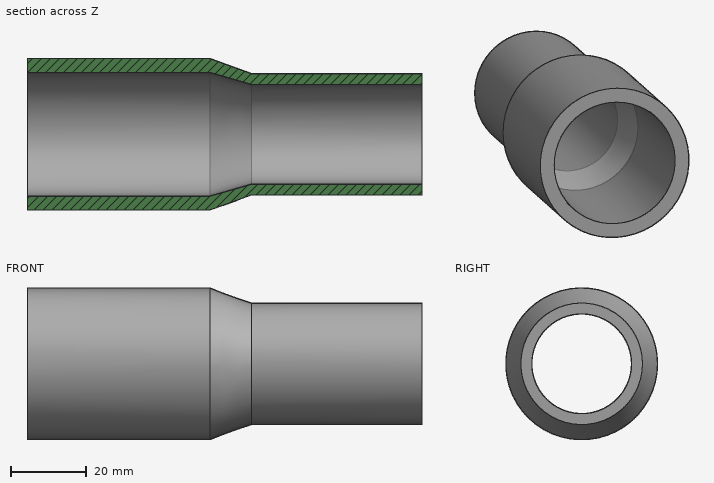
import cadquery as cq

total_length = 104.0
large_end_length = 48.0
small_end_length = 44.9
taper_end = total_length - small_end_length

large_outer_radius = 40.0 / 2
large_bore_radius = 32.5 / 2
small_outer_radius = 32.0 / 2
small_bore_radius = 26.2 / 2


def reducer_solid(large_radius, small_radius):
    """Solid of revolution about X: large cylinder, cone, small cylinder."""
    return (
        cq.Workplane("XY")
        .moveTo(0, 0)
        .lineTo(0, large_radius)
        .lineTo(large_end_length, large_radius)
        .lineTo(taper_end, small_radius)
        .lineTo(total_length, small_radius)
        .lineTo(total_length, 0)
        .close()
        .revolve(360, (0, 0, 0), (1, 0, 0))
    )


body = reducer_solid(large_outer_radius, small_outer_radius)
bore = reducer_solid(large_bore_radius, small_bore_radius)
result = body.cut(bore).translate((-total_length / 2, 0, 0))